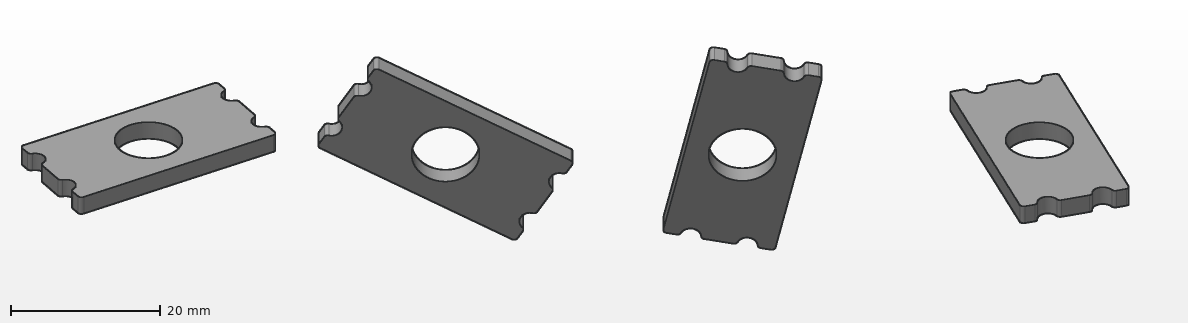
import cadquery as cq

WIDTH = 15.38
LENGTH = 30.98
THICKNESS = 2.66
CORNER_RADIUS = 0.55

HOLE_DIAMETER = 9.1

NOTCH_SPACING = 7.75
NOTCH_RADIUS = 1.42
NOTCH_DEPTH = 1.45
LIP_RADIUS = 0.55

PICK_MARGIN = 0.1


def plate():
    """Flat rectangular plate, centred in X and Y, resting on Z = 0."""
    blank = cq.Workplane("XY").box(WIDTH, LENGTH, THICKNESS, centered=(True, True, False))
    return blank.edges("|Z").fillet(CORNER_RADIUS)


def cut_notches(body):
    """Cut two round notches into each short end of the plate."""
    center_x = NOTCH_SPACING / 2
    center_y = LENGTH / 2 + NOTCH_RADIUS - NOTCH_DEPTH
    centers = [(side * center_x, end * center_y) for side in (-1, 1) for end in (-1, 1)]
    cutters = cq.Workplane("XY").pushPoints(centers).circle(NOTCH_RADIUS).extrude(THICKNESS)
    return body.cut(cutters)


def round_notch_lips(body):
    """Round the upright edges where the notches meet the short end faces."""
    reach_x = NOTCH_SPACING / 2 + NOTCH_RADIUS + PICK_MARGIN
    for end in (-1, 1):
        end_y = end * LENGTH / 2
        lip_edges = cq.selectors.BoxSelector(
            (-reach_x, end_y - PICK_MARGIN, 0),
            (reach_x, end_y + PICK_MARGIN, THICKNESS),
        )
        body = body.edges("|Z").edges(lip_edges).fillet(LIP_RADIUS)
    return body


def cut_center_hole(body):
    """Cut the round hole through the middle of the plate."""
    cutter = cq.Workplane("XY").circle(HOLE_DIAMETER / 2).extrude(THICKNESS)
    return body.cut(cutter)


notched_plate = round_notch_lips(cut_notches(plate()))
result = cut_center_hole(notched_plate)